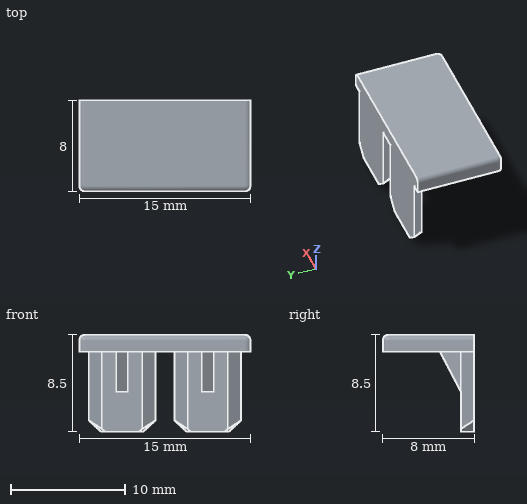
import cadquery as cq

plate_length = 15
plate_depth = 8.0
plate_thickness = 1.5
edge_radius = 0.5

prong_spacing = 7.5
prong_height = 7.0
prong_back_width = 5.85
prong_front_width = 3.52
prong_depth = (prong_back_width - prong_front_width) / 2

tip_height = 1.0
tip_back_inset = 1.08
tip_front_inset = 1.44

gusset_width = 1.02
gusset_height = 3.5
gusset_reach = 1.83


def make_plate():
    plate = cq.Workplane("XY").box(
        plate_length, plate_depth, plate_thickness, centered=(True, False, False)
    ).translate((0, -plate_depth, 0))
    plate = plate.edges("|Z and <Y").fillet(edge_radius)
    return plate.faces(">Z").edges("not >Y").fillet(edge_radius)


def make_tip_cutter(side):
    """Oversized wedge below the sloping plane that trims one lower corner."""
    half_width = prong_back_width / 2

    high_point = cq.Vector(side * half_width, 0, tip_height - prong_height)
    back_point = cq.Vector(side * (half_width - tip_back_inset), 0, -prong_height)
    front_point = cq.Vector(side * (half_width - tip_front_inset), -prong_depth, -prong_height)
    normal = (back_point - high_point).cross(front_point - high_point)
    if normal.z > 0:
        normal = normal * -1
    plane = cq.Plane(origin=back_point, xDir=front_point - back_point, normal=normal)
    return cq.Workplane(plane).rect(prong_back_width, prong_back_width).extrude(prong_height)


def make_prong():
    back = prong_back_width / 2
    front = prong_front_width / 2
    prong = (
        cq.Workplane("XY")
        .polyline([(-back, 0), (back, 0), (front, -prong_depth), (-front, -prong_depth)])
        .close()
        .extrude(-prong_height)
    )
    for side in (-1, 1):
        prong = prong.cut(make_tip_cutter(side))
    return prong


def make_gusset():
    return (
        cq.Workplane("YZ")
        .polyline([
            (-prong_depth, 0),
            (-prong_depth - gusset_reach, 0),
            (-prong_depth, -gusset_height),
        ])
        .close()
        .extrude(gusset_width / 2, both=True)
    )


result = make_plate()
for x_center in (-prong_spacing / 2, prong_spacing / 2):
    result = result.union(make_prong().translate((x_center, 0, 0)))
    result = result.union(make_gusset().translate((x_center, 0, 0)))